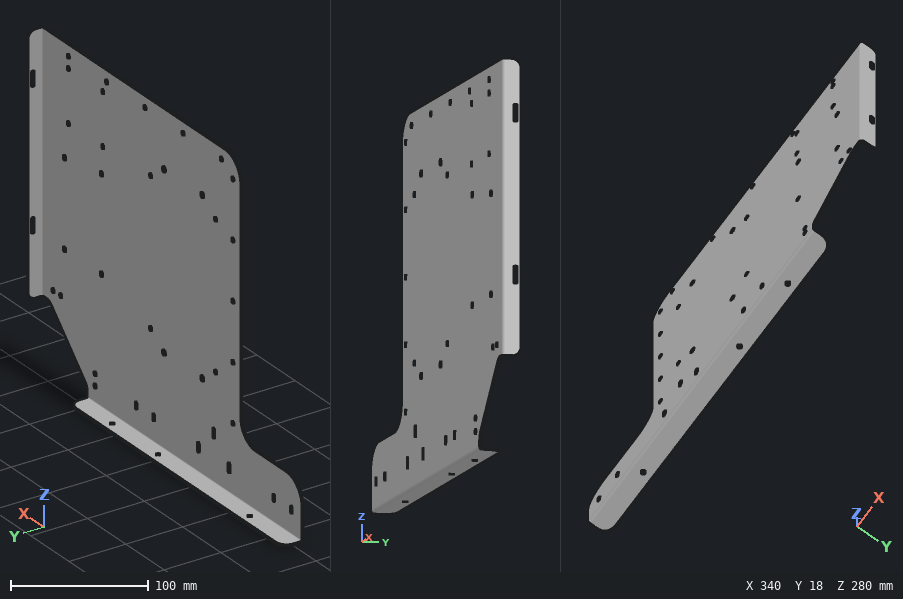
import cadquery as cq
import math

THICKNESS = 1.5
BEND_OUTER_RADIUS = 2.5
BEND_INNER_RADIUS = BEND_OUTER_RADIUS - THICKNESS

WIDTH = 340.0
HEIGHT = 280.0
TAIL_LENGTH = 80.0
TAIL_HEIGHT = 50.0
TAIL_CORNER_RADIUS = 20.0
BOTTOM_EDGE_END = 280.0
RIGHT_EDGE_START = 60.0
BEVEL_SIDE = 50.0
BEVEL_CORNER_RADIUS = 10.0

NARROW_SLOT_WIDTH = 3.0

BOTTOM_FLANGE_DEPTH = 18.0
BOTTOM_FLANGE_CORNER_RADIUS = 10.0
RIGHT_FLANGE_DEPTH = 14.0
RIGHT_FLANGE_CORNER_RADIUS = 6.0
FLANGE_HOLE_DIAMETER = 3.2
FLANGE_HOLE_DEPTH = 10.0
BOTTOM_FLANGE_HOLE_X = (55.0, 175.0, 235.0)
RIGHT_FLANGE_SLOT_Z = (120.0, 240.0)
RIGHT_FLANGE_SLOT_LENGTH = 13.0

SMALL_HOLE_DIAMETER = 3.5
MEDIUM_HOLE_DIAMETER = 4.0
LARGE_HOLE_DIAMETER = 4.5
EDGE_MARGIN = 10.0
EDGE_HOLE_PITCH = 50.0
EDGE_HOLE_COUNT = 5
TOP_ROW_START_X = 105.0
LEFT_COLUMN_START_Z = 60.0
MOUNT_CENTER = (155.0, 155.0)
MOUNT_INNER_SPACING = (50.0, 150.0)
MOUNT_OUTER_SPACING = (85.0, 125.0)
SQUARE_CENTER = (282.5, 237.5)
SQUARE_SPACING = (45.0, 45.0)
PAIR_SPACING = 10.0
BOTTOM_PAIR_START = (270.0, 15.0)
RIGHT_PAIR_START = (315.0, 70.0)
BRACKET_LEFT_X = 261.75
BRACKET_RIGHT_X = 310.0
BRACKET_BOTTOM_Z = 110.0
BRACKET_LEFT_TOP_Z = 192.0
BRACKET_RIGHT_TOP_Z = 185.0

LONG_SLOT_WIDTH = 3.2
LONG_SLOT_LENGTH = 8.4
SHORT_SLOT_LENGTH = 6.0
SLOT_ROW_Z = 21.5
LONG_SLOT_CENTER_X = 115.0
LONG_SLOT_OFFSET = 20.0
SHORT_SLOT_PAIR_X = (25.0, 205.0)
SHORT_SLOT_SPACING = 23.0


def rectangle_corners(center, spacing):
    return [
        (center[0] + sx * spacing[0] / 2, center[1] + sz * spacing[1] / 2)
        for sx in (-1, 1)
        for sz in (-1, 1)
    ]


def fillet_corners(panel, corners, radius):
    """Round the panel outline at the given (X, Z) corners."""
    for x, z in corners:
        corner_edge = cq.selectors.NearestToPointSelector((x, THICKNESS / 2, z))
        panel = panel.edges("|Y").edges(corner_edge).fillet(radius)
    return panel


def make_panel():
    """Flat panel, stopping where the two bends begin."""
    flat_right = WIDTH - BEND_OUTER_RADIUS
    flat_bottom = BEND_OUTER_RADIUS
    bevel_top_x = BOTTOM_EDGE_END + BEVEL_SIDE
    bevel_bottom_z = RIGHT_EDGE_START - BEVEL_SIDE
    outline = [
        (0, flat_bottom),
        (BOTTOM_EDGE_END, flat_bottom),
        (BOTTOM_EDGE_END, bevel_bottom_z),
        (bevel_top_x, RIGHT_EDGE_START),
        (flat_right, RIGHT_EDGE_START),
        (flat_right, HEIGHT),
        (TAIL_LENGTH, HEIGHT),
        (TAIL_LENGTH, TAIL_HEIGHT),
        (0, TAIL_HEIGHT),
    ]
    tail_corners = [(TAIL_LENGTH, HEIGHT), (TAIL_LENGTH, TAIL_HEIGHT), (0, TAIL_HEIGHT)]
    bevel_corners = [(BOTTOM_EDGE_END, bevel_bottom_z), (bevel_top_x, RIGHT_EDGE_START)]
    panel = cq.Workplane("XZ").polyline(outline).close().extrude(-THICKNESS)
    panel = fillet_corners(panel, tail_corners, TAIL_CORNER_RADIUS)
    return fillet_corners(panel, bevel_corners, BEVEL_CORNER_RADIUS)


def bend_and_flange_profile(plane, depth):
    """Quarter-round bend and flat flange, bending from the panel at local (R, 0) to local (0, depth).

    Local x runs from the outer face of the flange into the panel and local y is the bend direction.
    """
    outer_mid = BEND_OUTER_RADIUS * (1 - math.sqrt(0.5))
    inner_mid = BEND_OUTER_RADIUS - BEND_INNER_RADIUS * math.sqrt(0.5)
    return (
        plane.moveTo(BEND_OUTER_RADIUS, 0)
        .threePointArc((outer_mid, outer_mid), (0, BEND_OUTER_RADIUS))
        .lineTo(0, depth)
        .lineTo(THICKNESS, depth)
        .lineTo(THICKNESS, BEND_OUTER_RADIUS)
        .threePointArc((inner_mid, inner_mid), (BEND_OUTER_RADIUS, THICKNESS))
        .close()
    )


def make_bottom_flange():
    plane = cq.Workplane(cq.Plane(origin=(0, 0, 0), xDir=(0, 0, 1), normal=(-1, 0, 0)))
    flange = bend_and_flange_profile(plane, BOTTOM_FLANGE_DEPTH).extrude(-BOTTOM_EDGE_END)
    flange = flange.faces(">Y").edges("|Z").fillet(BOTTOM_FLANGE_CORNER_RADIUS)
    hole_centers = [(x, FLANGE_HOLE_DEPTH) for x in BOTTOM_FLANGE_HOLE_X]
    holes = cq.Workplane("XY").pushPoints(hole_centers).circle(FLANGE_HOLE_DIAMETER / 2).extrude(THICKNESS)
    return flange.cut(holes)


def make_right_flange():
    origin = (WIDTH, 0, RIGHT_EDGE_START)
    plane = cq.Workplane(cq.Plane(origin=origin, xDir=(-1, 0, 0), normal=(0, 0, -1)))
    flange = bend_and_flange_profile(plane, RIGHT_FLANGE_DEPTH).extrude(RIGHT_EDGE_START - HEIGHT)
    flange = flange.faces(">Y").edges("|X").fillet(RIGHT_FLANGE_CORNER_RADIUS)
    slot_centers = [(FLANGE_HOLE_DEPTH, z) for z in RIGHT_FLANGE_SLOT_Z]
    slots = (
        cq.Workplane("YZ", origin=(WIDTH, 0, 0))
        .pushPoints(slot_centers)
        .slot2D(RIGHT_FLANGE_SLOT_LENGTH, NARROW_SLOT_WIDTH, 90)
        .extrude(-THICKNESS)
    )
    return flange.cut(slots)


def drill(panel, centers, diameter):
    holes = cq.Workplane("XZ").pushPoints(centers).circle(diameter / 2).extrude(-THICKNESS)
    return panel.cut(holes)


def cut_upright_slots(panel, centers, length, width):
    slots = cq.Workplane("XZ").pushPoints(centers).slot2D(length, width, 90).extrude(-THICKNESS)
    return panel.cut(slots)


def small_hole_centers():
    steps = [i * EDGE_HOLE_PITCH for i in range(EDGE_HOLE_COUNT)]
    top_row = [(TOP_ROW_START_X + step, HEIGHT - EDGE_MARGIN) for step in steps]
    left_column = [(TAIL_LENGTH + EDGE_MARGIN, LEFT_COLUMN_START_Z + step) for step in steps]
    pair_x, pair_z = BOTTOM_PAIR_START
    bottom_pair = [(pair_x, pair_z), (pair_x, pair_z + PAIR_SPACING)]
    pair_x, pair_z = RIGHT_PAIR_START
    right_pair = [(pair_x, pair_z), (pair_x + PAIR_SPACING, pair_z)]
    square = rectangle_corners(SQUARE_CENTER, SQUARE_SPACING)
    mount_outer = rectangle_corners(MOUNT_CENTER, MOUNT_OUTER_SPACING)
    return top_row + left_column + bottom_pair + right_pair + square + mount_outer


def bracket_hole_centers():
    """Four-hole pattern whose two upper holes sit at different heights."""
    return [
        (BRACKET_LEFT_X, BRACKET_BOTTOM_Z),
        (BRACKET_RIGHT_X, BRACKET_BOTTOM_Z),
        (BRACKET_LEFT_X, BRACKET_LEFT_TOP_Z),
        (BRACKET_RIGHT_X, BRACKET_RIGHT_TOP_Z),
    ]


def long_slot_centers():
    """Two slots in the lower row and one centred between and above them."""
    return [
        (LONG_SLOT_CENTER_X - LONG_SLOT_OFFSET, SLOT_ROW_Z),
        (LONG_SLOT_CENTER_X + LONG_SLOT_OFFSET, SLOT_ROW_Z),
        (LONG_SLOT_CENTER_X, SLOT_ROW_Z + LONG_SLOT_OFFSET),
    ]


def short_slot_centers():
    half_spacing = SHORT_SLOT_SPACING / 2
    return [(x + side * half_spacing, SLOT_ROW_Z) for x in SHORT_SLOT_PAIR_X for side in (-1, 1)]


panel = make_panel()
panel = drill(panel, small_hole_centers(), SMALL_HOLE_DIAMETER)
panel = drill(panel, bracket_hole_centers(), MEDIUM_HOLE_DIAMETER)
panel = drill(panel, rectangle_corners(MOUNT_CENTER, MOUNT_INNER_SPACING), LARGE_HOLE_DIAMETER)
panel = cut_upright_slots(panel, long_slot_centers(), LONG_SLOT_LENGTH, LONG_SLOT_WIDTH)
panel = cut_upright_slots(panel, short_slot_centers(), SHORT_SLOT_LENGTH, NARROW_SLOT_WIDTH)

result = panel.union(make_bottom_flange()).union(make_right_flange())